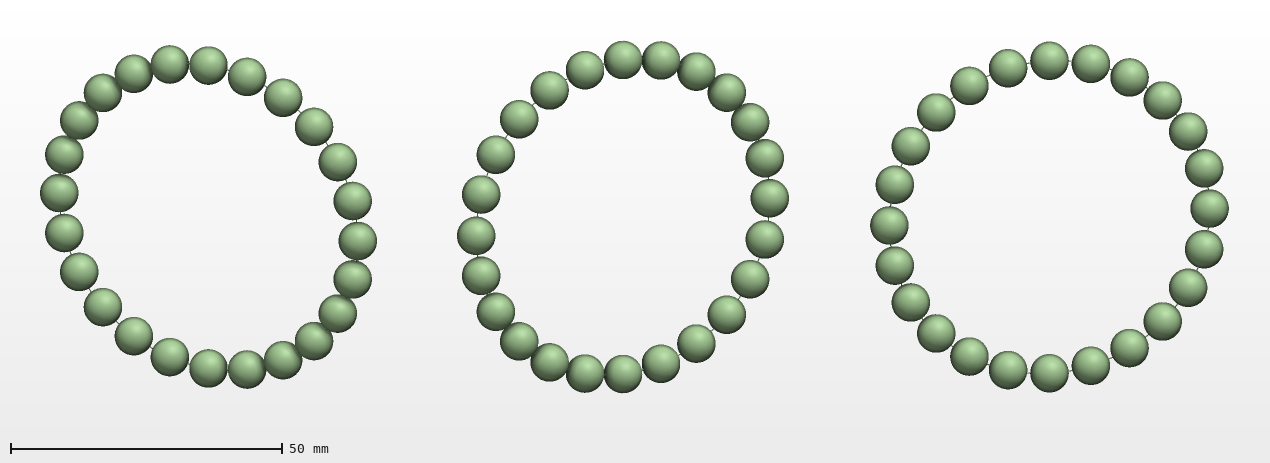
import cadquery as cq

OUTER_DIAMETER = 67.15
BEAD_DIAMETER = 7.1
BEAD_COUNT = 24
WIRE_DIAMETER = 0.2

bead_radius = BEAD_DIAMETER / 2
ring_radius = OUTER_DIAMETER / 2 - bead_radius


def make_wire():
    """Thin torus around the Y axis that joins all the beads."""
    center = cq.Vector(0, 0, 0)
    axis = cq.Vector(0, 1, 0)
    return cq.Workplane(cq.Solid.makeTorus(ring_radius, WIRE_DIAMETER / 2, center, axis))


def make_beads():
    """Equally spaced spheres with their poles along Y, the first on the +X axis."""
    return (
        cq.Workplane("XZ")
        .polarArray(ring_radius, 0, 360, BEAD_COUNT)
        .sphere(bead_radius, combine=False)
    )


result = make_wire().union(make_beads())